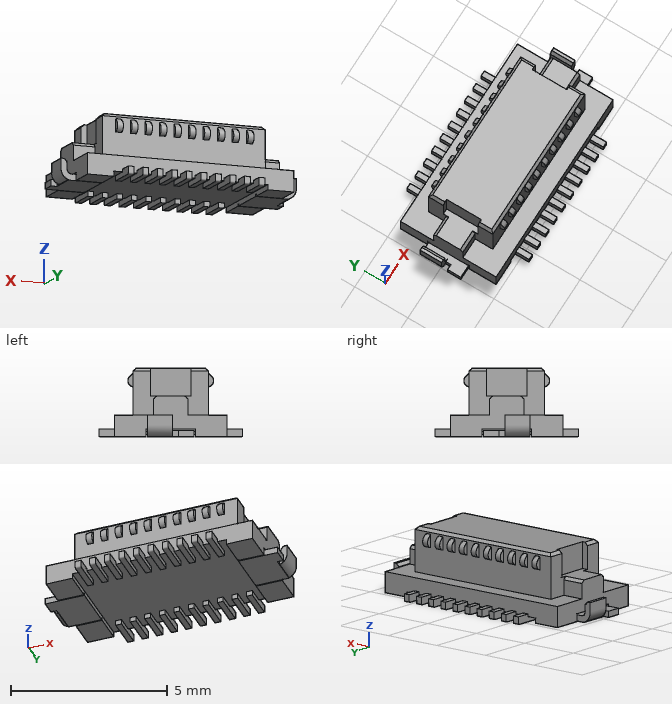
import cadquery as cq
import math

base_length = 7.1
base_width = 3.6
base_top = 0.7
tower_length = 5.6
tower_width = 2.42
tower_top = 2.2
tower_chamfer = 0.1
pedestal_width = 1.1
pedestal_top = 1.31
pedestal_chamfer = 0.1
notch_depth = 0.2
notch_width = 1.3

relief_length = 5.3
relief_height = 0.17

contact_count = 10
contact_pitch = 0.5
contact_width = 0.2
pin_span = 4.6
pin_height = 0.26
pin_fillet = 0.05
bump_top = 2.04
bump_slope_run = 0.105
bump_bottom = 1.6
bump_corner = 0.03

overall_length = 8.1
clip_thickness = 0.21
clip_width = 1.5
clip_bend_radius = 0.15
clip_lip_chamfer = 0.1
lip_inner_y = -0.06
pad_inner_y = -0.25
pad_end_x = 4.0
slot_floor_x = 3.8

pocket_width = 1.58
pocket_steps = ((0.3, 0.26), (0.6, relief_height), ((base_length - relief_length) / 2, 0.07))


def block(x_start, x_end, y_start, y_end, z_start, z_end):
    """Box given by its limits along each axis."""
    size = (x_end - x_start, y_end - y_start, z_end - z_start)
    return cq.Workplane("XY").box(*size, centered=False).translate((x_start, y_start, z_start))


def centred_block(length, width, z_start, z_end):
    """Box centred on the Z axis."""
    return block(-length / 2, length / 2, -width / 2, width / 2, z_start, z_end)


def both_ends(shape):
    """The shape together with its mirror image in the YZ plane."""
    return shape.union(shape.mirror("YZ"))


def both_sides(shape):
    """The shape together with its mirror image in the XZ plane."""
    return shape.union(shape.mirror("XZ"))


def make_tower():
    tower = centred_block(tower_length, tower_width, 0, tower_top)
    tower = tower.faces(">Z").edges().chamfer(tower_chamfer)
    notch_floor_x = tower_length / 2 - notch_depth
    half_notch = notch_width / 2
    notch = block(notch_floor_x, tower_length / 2, -half_notch, half_notch, pedestal_top, tower_top)
    return tower.cut(both_ends(notch))


def make_pedestals():
    bar = centred_block(base_length, pedestal_width, 0, pedestal_top)
    return bar.faces(">Z").edges("|X").chamfer(pedestal_chamfer)


def make_clip_pocket():
    """Pocket open to the underside whose roof drops in steps towards the middle."""
    end_x = base_length / 2
    half_width = pocket_width / 2
    pocket = cq.Workplane("XY")
    for depth, height in pocket_steps:
        pocket = pocket.union(block(end_x - depth, end_x, -half_width, half_width, 0, height))
    return pocket


def make_housing():
    housing = centred_block(base_length, base_width, 0, base_top)
    housing = housing.union(make_pedestals()).union(make_tower())
    housing = housing.cut(centred_block(relief_length, base_width, 0, relief_height))
    return housing.cut(both_ends(make_clip_pocket()))


def make_clip():
    """Flat plate with a solder pad on one side and an upturned lip on the other."""
    half_width = clip_width / 2
    plate_start_x = relief_length / 2
    plate = block(plate_start_x, slot_floor_x, -half_width, half_width, 0, clip_thickness)
    pad = block(plate_start_x, pad_end_x, -half_width, pad_inner_y, 0, clip_thickness)

    outer_x = overall_length / 2
    inner_x = outer_x - clip_thickness
    outer_radius = clip_bend_radius + clip_thickness
    bend_x = outer_x - outer_radius
    diagonal = math.sqrt(0.5)
    outer_mid = (bend_x + outer_radius * diagonal, outer_radius * (1 - diagonal))
    inner_mid = (bend_x + clip_bend_radius * diagonal, outer_radius - clip_bend_radius * diagonal)
    lip = (
        cq.Workplane("XZ", origin=(0, half_width, 0))
        .moveTo(plate_start_x, 0)
        .lineTo(bend_x, 0)
        .threePointArc(outer_mid, (outer_x, outer_radius))
        .lineTo(outer_x, base_top)
        .lineTo(inner_x + clip_lip_chamfer, base_top)
        .lineTo(inner_x, base_top - clip_lip_chamfer)
        .lineTo(inner_x, outer_radius)
        .threePointArc(inner_mid, (bend_x, clip_thickness))
        .lineTo(plate_start_x, clip_thickness)
        .close()
        .extrude(half_width - lip_inner_y)
    )
    return plate.union(pad).union(lip)


def make_pin():
    """Solder pin on the -Y side, running in under the base as far as the tower wall."""
    half_contact = contact_width / 2
    pin = block(-half_contact, half_contact, -pin_span / 2, -tower_width / 2, 0, pin_height)
    return pin.edges("<Y and <Z").fillet(pin_fillet)


def make_bump():
    """Contact bump on the -Y tower wall: 45 degree lead-in above a tangent round nose."""
    wall_y = -tower_width / 2
    slope_end = (wall_y - bump_slope_run, bump_top - bump_slope_run)
    bump = (
        cq.Workplane("YZ", origin=(-contact_width / 2, 0, 0))
        .moveTo(wall_y, bump_top)
        .lineTo(*slope_end)
        .tangentArcPoint((wall_y, bump_bottom), relative=False)
        .lineTo(0, bump_bottom)
        .lineTo(0, bump_top)
        .close()
        .extrude(contact_width)
    )
    corner_profile = centred_block(contact_width, pin_span, bump_bottom, bump_top)
    corner_profile = corner_profile.faces(">Z").edges("|Y").chamfer(bump_corner)
    return bump.intersect(corner_profile)


result = make_housing().union(both_ends(make_clip()))

contact_pair = both_sides(make_pin()).union(both_sides(make_bump()))
for index in range(contact_count):
    contact_x = (index - (contact_count - 1) / 2) * contact_pitch
    result = result.union(contact_pair.translate((contact_x, 0, 0)))